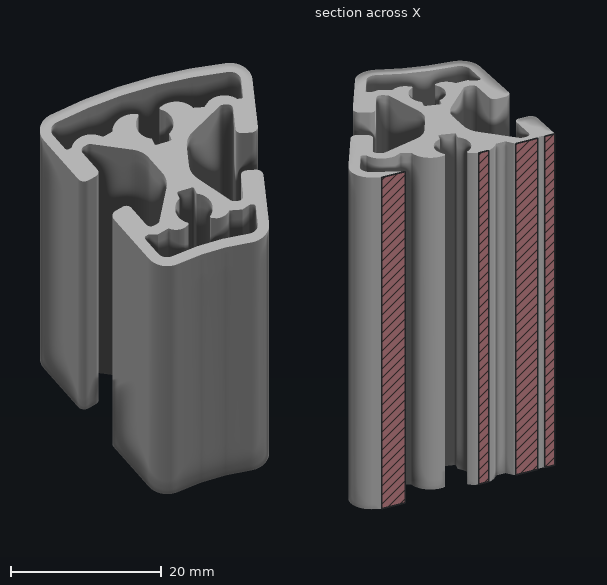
import cadquery as cq
import math


length = 50
sector_angle = 30
outer_radius = 60
inner_radius = 30
wall = 1.5
corner_radius = 3
inner_corner_radius = corner_radius - wall
mid_radius = (outer_radius + inner_radius) / 2

slot_half_opening = 3.1
lip_thickness = 3
lip_outer_radius = 1
lip_inner_radius = 0.8
slot_half_width = 8.05
slot_depth = 9.7
slot_floor_half_width = 2.9
slot_side_depth = slot_depth - (slot_half_width - slot_floor_half_width)
slot_corner_radius = 0.75
slot_floor_radius = 3.25

channel_radius = 2.5
channel_offset = 7.5
notch_half_width = 1.2
notch_depth = 3.35
notch_corner_radius = 0.25

tip_offset = 2.15
tip_radius = 0.25
web_reach = slot_half_width + wall
web_foot_reach = 8.85
web_foot_depth = 2.3
web_foot_radius = 0.35
outer_claw_bulge = (55.1, 3.6)
outer_neck_reach = 7.9
outer_neck_depths = (8.25, 6.8)
outer_web_start = (8.85, 6.1)
outer_web_bulge = (9.6, 4.2)
inner_claw_reach = 10.7
inner_claw_depth = 6.8
inner_claw_bulge = (10.35, 5.75)
inner_neck_depth = 5.05
inner_web_depth = 3.3

half_angle = math.radians(sector_angle / 2)


def face_point(distance, depth):
    """Point at a distance from the ring axis along the straight face, and a depth below it."""
    across = distance * math.cos(half_angle) + depth * math.sin(half_angle)
    up = distance * math.sin(half_angle) - depth * math.cos(half_angle)
    return (-across, up)


def slot_point(reach, depth):
    """Point measured from the slot's centre line (positive = away from the ring axis)."""
    return face_point(mid_radius + reach, depth)


def arc_end(radius, depth):
    """Point where a ring arc crosses the line at a depth below the straight face."""
    return face_point(math.sqrt(radius**2 - depth**2), depth)


def arc_middle(radius, end):
    """Point on a ring arc halfway between the bisector and an end point."""
    angle = math.asin(end[1] / radius) / 2
    return (-radius * math.cos(angle), radius * math.sin(angle))


def round_corners(solid, corners, radius):
    """Fillet the vertical edges that stand on the given corners."""
    for x, y in corners:
        nearest = cq.selectors.NearestToPointSelector((x, y, length / 2))
        solid = solid.edges("|Z").edges(nearest).fillet(radius)
    return solid


def half_sector():
    outer_corner = arc_end(outer_radius, 0)
    inner_corner = arc_end(inner_radius, 0)
    sector = (
        cq.Workplane("XY")
        .moveTo(-inner_radius, 0)
        .lineTo(-outer_radius, 0)
        .threePointArc(arc_middle(outer_radius, outer_corner), outer_corner)
        .lineTo(*inner_corner)
        .threePointArc(arc_middle(inner_radius, inner_corner), (-inner_radius, 0))
        .close()
        .extrude(length)
    )
    return round_corners(sector, [outer_corner, inner_corner], corner_radius)


def cut_slot(body):
    side = [
        (slot_half_opening, 0),
        (slot_half_opening, lip_thickness),
        (slot_half_width, lip_thickness),
        (slot_half_width, slot_side_depth),
        (slot_floor_half_width, slot_depth),
    ]
    outward = [slot_point(reach, depth) for reach, depth in side]
    inward = [slot_point(-reach, depth) for reach, depth in side]
    slot = cq.Workplane("XY").polyline(outward + inward[::-1]).close().extrude(length)
    body = body.cut(slot)
    for points in (outward, inward):
        body = round_corners(body, points[0:1], lip_outer_radius)
        body = round_corners(body, points[1:2], lip_inner_radius)
        body = round_corners(body, points[2:4], slot_corner_radius)
        body = round_corners(body, points[4:], slot_floor_radius)
    return body


def start_channel(side):
    """Half of a channel from its notch to the claw tip; side is 1 away from the ring axis, else -1."""
    centre = -(mid_radius + side * channel_offset)
    notch_end = centre + side * notch_depth
    notch_mouth = centre + side * math.sqrt(channel_radius**2 - notch_half_width**2)
    tip = (centre - side * tip_offset, math.sqrt(channel_radius**2 - tip_offset**2))
    outline = (
        cq.Workplane("XY")
        .moveTo(notch_end, 0)
        .lineTo(notch_end, notch_half_width)
        .lineTo(notch_mouth, notch_half_width)
        .threePointArc((centre, channel_radius), tip)
    )
    return outline, tip, (notch_end, notch_half_width)


def finish_cavity(outline, ring_radius, tip, notch_corner, web_foot):
    """Close a cavity along the ring wall and round its corners."""
    wall_corner = arc_end(ring_radius, wall)
    cavity = (
        outline.lineTo(*wall_corner)
        .threePointArc(arc_middle(ring_radius, wall_corner), (-ring_radius, 0))
        .close()
        .extrude(length)
    )
    cavity = round_corners(cavity, [wall_corner], inner_corner_radius)
    cavity = round_corners(cavity, [tip], tip_radius)
    cavity = round_corners(cavity, [notch_corner], notch_corner_radius)
    return round_corners(cavity, [web_foot], web_foot_radius)


def outer_cavity():
    outline, tip, notch_corner = start_channel(1)
    web_foot = slot_point(web_foot_reach, wall)
    bulge_distance, bulge_height = outer_claw_bulge
    neck_start, neck_end = [slot_point(outer_neck_reach, depth) for depth in outer_neck_depths]
    outline = (
        outline.threePointArc((-bulge_distance, bulge_height), neck_start)
        .lineTo(*neck_end)
        .lineTo(*slot_point(*outer_web_start))
        .threePointArc(slot_point(*outer_web_bulge), slot_point(web_foot_reach, web_foot_depth))
        .lineTo(*web_foot)
    )
    return finish_cavity(outline, outer_radius - wall, tip, notch_corner, web_foot)


def inner_cavity():
    outline, tip, notch_corner = start_channel(-1)
    web_foot = slot_point(-web_foot_reach, wall)
    bulge_reach, bulge_depth = inner_claw_bulge
    outline = (
        outline.lineTo(*slot_point(-inner_claw_reach, inner_claw_depth))
        .threePointArc(slot_point(-bulge_reach, bulge_depth), slot_point(-web_reach, inner_neck_depth))
        .lineTo(*slot_point(-web_reach, inner_web_depth))
        .lineTo(*slot_point(-web_foot_reach, web_foot_depth))
        .lineTo(*web_foot)
    )
    return finish_cavity(outline, inner_radius + wall, tip, notch_corner, web_foot)


half = cut_slot(half_sector()).cut(outer_cavity()).cut(inner_cavity())
profile = half.union(half.mirror("XZ")).clean()
result = profile.rotate((0, 0, 0), (0, 0, 1), -sector_angle / 2)